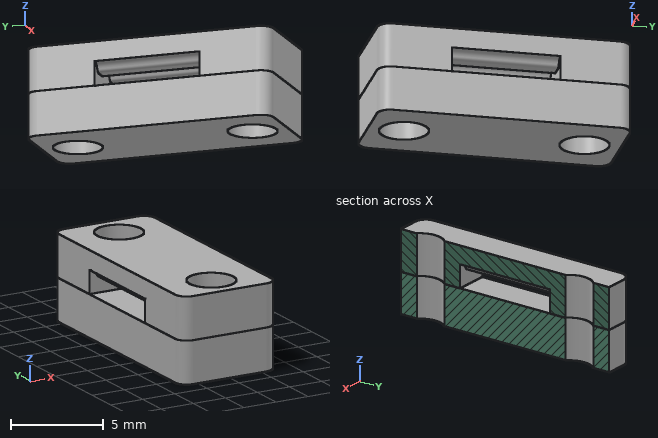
import cadquery as cq
import math

LENGTH = 14.0
WIDTH = 6.0
PLATE_HEIGHT = 5.0 / 2
CORNER_RADIUS = 0.73

HOLE_DIAMETER = 2.7
HOLE_SPACING = 10.0

SLOT_LENGTH = 6.0
SLOT_HEIGHT = 1.37

TOOTH_COUNT = 3
TOOTH_PITCH = WIDTH / TOOTH_COUNT
TOOTH_DEPTH = 0.5
GROOVE_RADIUS = 0.5
TIP_RADIUS = 0.25
FLANK_ANGLE = math.radians(65)


def plate(bottom_z):
    """Rounded rectangular plate with both through holes."""
    return (
        cq.Workplane("XY", origin=(0, 0, bottom_z))
        .rect(WIDTH, LENGTH)
        .extrude(PLATE_HEIGHT)
        .edges("|Z")
        .fillet(CORNER_RADIUS)
        .faces(">Z")
        .workplane()
        .pushPoints([(0, -HOLE_SPACING / 2), (0, HOLE_SPACING / 2)])
        .hole(HOLE_DIAMETER)
    )


def slot():
    """Passage across the full width of the upper plate."""
    return cq.Workplane("XY").box(WIDTH, SLOT_LENGTH, SLOT_HEIGHT, centered=(True, True, False))


def tooth():
    """Tooth one pitch wide, centred on X = 0, running from groove bottom to groove bottom."""
    tip_z = SLOT_HEIGHT - TOOTH_DEPTH
    groove_x = TOOTH_PITCH / 2
    sine = math.sin(FLANK_ANGLE)
    cosine = math.cos(FLANK_ANGLE)
    half_sine = math.sin(FLANK_ANGLE / 2)
    half_cosine = math.cos(FLANK_ANGLE / 2)

    groove_end_x = groove_x - GROOVE_RADIUS * sine
    groove_end_z = SLOT_HEIGHT - GROOVE_RADIUS * (1 - cosine)
    groove_mid_x = groove_x - GROOVE_RADIUS * half_sine
    groove_mid_z = SLOT_HEIGHT - GROOVE_RADIUS * (1 - half_cosine)

    flank_end_z = tip_z + TIP_RADIUS * (1 - cosine)
    flank_end_x = groove_end_x - (groove_end_z - flank_end_z) / math.tan(FLANK_ANGLE)
    tip_x = flank_end_x - TIP_RADIUS * sine
    tip_mid_x = tip_x + TIP_RADIUS * half_sine
    tip_mid_z = tip_z + TIP_RADIUS * (1 - half_cosine)

    return (
        cq.Workplane("XZ", origin=(0, SLOT_LENGTH / 2, 0))
        .moveTo(-groove_x, SLOT_HEIGHT)
        .threePointArc((-groove_mid_x, groove_mid_z), (-groove_end_x, groove_end_z))
        .lineTo(-flank_end_x, flank_end_z)
        .threePointArc((-tip_mid_x, tip_mid_z), (-tip_x, tip_z))
        .lineTo(tip_x, tip_z)
        .threePointArc((tip_mid_x, tip_mid_z), (flank_end_x, flank_end_z))
        .lineTo(groove_end_x, groove_end_z)
        .threePointArc((groove_mid_x, groove_mid_z), (groove_x, SLOT_HEIGHT))
        .close()
        .extrude(SLOT_LENGTH)
    )


def toothed_slot():
    """Slot volume with the row of teeth left standing."""
    passage = slot()
    for index in range(TOOTH_COUNT):
        tooth_x = (index - (TOOTH_COUNT - 1) / 2) * TOOTH_PITCH
        passage = passage.cut(tooth().translate((tooth_x, 0, 0)))
    return passage


lower_plate = plate(-PLATE_HEIGHT)
upper_plate = plate(0).cut(toothed_slot())

result = cq.Compound.makeCompound([lower_plate.val(), upper_plate.val()])